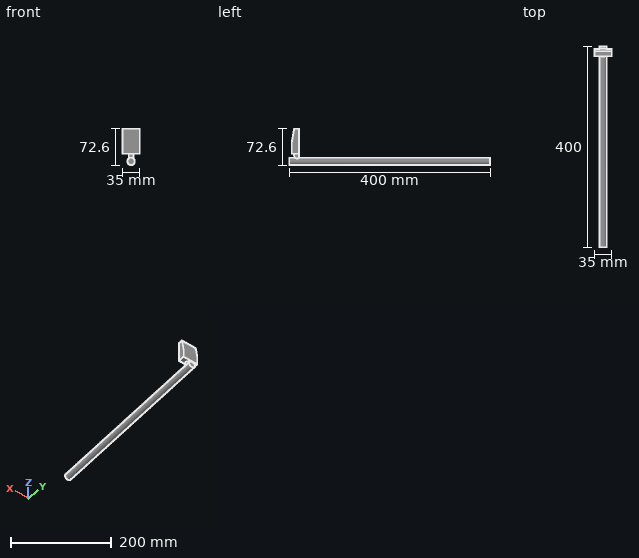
import cadquery as cq
import math

rod_diameter = 15.0
rod_length = 400.0
rod_back = rod_length / 2

overall_height = 72.59
head_width = 35.0
head_height = 50.0
head_base_depth = 15.0
head_top_depth = 10.0
head_taper_angle = 10.0
head_front_inset = 19.85

neck_diameter = 10.0
neck_tilt = 10.0
neck_top_inset = 14.3
neck_embed = 4.0

head_top = overall_height - rod_diameter / 2
head_bottom = head_top - head_height
head_taper_height = (head_base_depth - head_top_depth) / math.tan(math.radians(head_taper_angle))
head_front = rod_back - head_front_inset


def make_rod():
    profile = cq.Workplane("XZ", origin=(0, rod_back, 0)).circle(rod_diameter / 2)
    return profile.extrude(rod_length)


def make_head():
    side_outline = [
        (head_front, head_bottom),
        (head_front + head_base_depth, head_bottom),
        (head_front + head_base_depth, head_top - head_taper_height),
        (head_front + head_top_depth, head_top),
        (head_front, head_top),
    ]
    return cq.Workplane("YZ").polyline(side_outline).close().extrude(head_width / 2, both=True)


def make_neck():
    tilt = math.radians(neck_tilt)
    axis = cq.Vector(0, math.sin(tilt), math.cos(tilt))
    neck_top = cq.Vector(0, rod_back - neck_top_inset, head_bottom)
    length_to_rod_axis = head_bottom / math.cos(tilt)
    start = neck_top - axis * length_to_rod_axis
    neck_length = length_to_rod_axis + neck_embed
    neck = cq.Solid.makeCylinder(neck_diameter / 2, neck_length, start, axis)
    return cq.Workplane(neck)


result = make_rod().union(make_neck()).union(make_head())